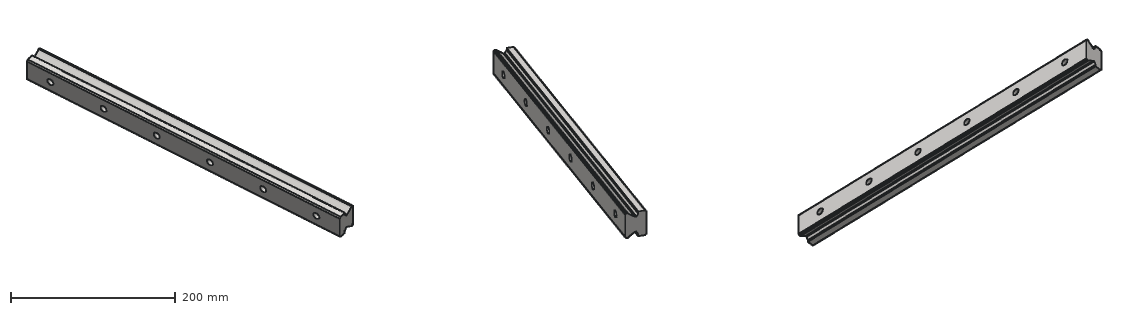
import cadquery as cq

length = 470.0
depth = 27.5
height = 34.0
front = -depth / 2
back = depth / 2
top = height / 2

front_bevel = 2.0
back_bevel = 1.5

ridge_inset = 3.5
steep_slope_inset = 5.5
floor_back_inset = 12.5
floor_front_inset = 14.5
wall_inset = 17.0

steep_slope_drop = 2.0
floor_drop = 6.5
wall_drop = 3.0

hole_count = 6
hole_pitch = 80.0
hole_diameter = 9.0


def rail_profile():
    """Cross-section in the YZ plane, symmetric about mid-height."""
    upper_points = [
        (front, top - front_bevel),
        (front + front_bevel, top),
        (back - wall_inset, top),
        (back - wall_inset, top - wall_drop),
        (back - floor_front_inset, top - floor_drop),
        (back - floor_back_inset, top - floor_drop),
        (back - steep_slope_inset, top - steep_slope_drop),
        (back - ridge_inset, top),
        (back - back_bevel, top),
        (back, top - back_bevel),
    ]
    lower_points = [(y, -z) for y, z in reversed(upper_points)]
    return cq.Workplane("YZ").polyline(upper_points + lower_points).close()


def mounting_holes():
    """Cylinders along Y, evenly spaced about the middle of the rail."""
    return (
        cq.Workplane("XZ")
        .rarray(hole_pitch, 4.5, hole_count, 1)
        .circle(hole_diameter / 2)
        .extrude(depth, both=True)
    )


rail = rail_profile().extrude(length / 2, both=True)
result = rail.cut(mounting_holes())